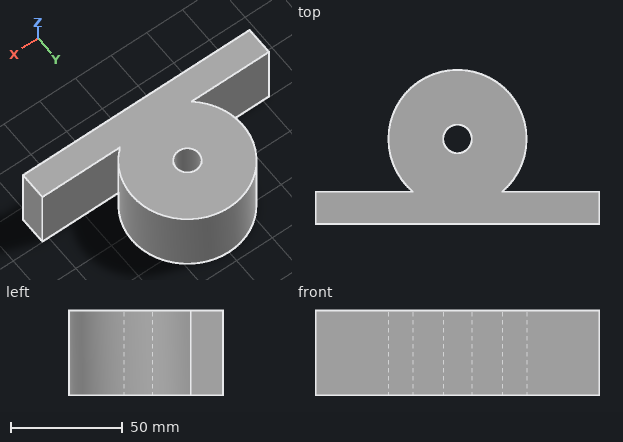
import cadquery as cq

plate_length = 127.0
plate_thickness = 14.5
height = 38.1
overall_depth = 69.1
boss_diameter = 62.0
bore_diameter = 12.7

boss_center_y = overall_depth - boss_diameter / 2

plate = cq.Workplane("XY").box(plate_length, plate_thickness, height, centered=(True, False, False))

boss = cq.Workplane("XY").center(0, boss_center_y).circle(boss_diameter / 2).extrude(height)

bore = cq.Workplane("XY").center(0, boss_center_y).circle(bore_diameter / 2).extrude(height)

result = plate.union(boss).cut(bore)